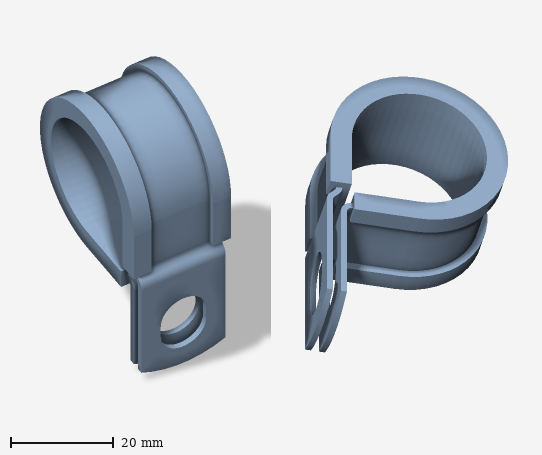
import cadquery as cq
import math

outer_radius = 17.75
bore_radius = 13.5
upright_leg_length = 11.55
level_leg_length = 12.9
cushion_width = 22.1
groove_width = 13.95

strap_radius = 16.25
strap_thickness = 1.2
strap_width = 19.2
bend_inner_radius = strap_thickness
bend_outer_radius = bend_inner_radius + strap_thickness

overall_height = 57.45
tab_bottom = outer_radius - overall_height
tab_end_rise = 2.1
outer_tab_face = 18.15
hole_diameter = 10.35
slot_length = 13.1
hole_height = -28.6
jog_angle = math.radians(45)


def loop_section(outer, inner, width):
    """Loop with an upright and a level leg, extruded evenly about Y = 0."""
    return (
        cq.Workplane("XZ")
        .moveTo(level_leg_length, -outer)
        .lineTo(0, -outer)
        .threePointArc((-outer * math.sqrt(0.5), outer * math.sqrt(0.5)), (outer, 0))
        .lineTo(outer, -upright_leg_length)
        .lineTo(inner, -upright_leg_length)
        .lineTo(inner, 0)
        .threePointArc((-inner * math.sqrt(0.5), inner * math.sqrt(0.5)), (0, -inner))
        .lineTo(level_leg_length, -inner)
        .close()
        .extrude(width / 2, both=True)
    )


def inner_tab():
    """Strap end that turns down a quarter turn from the level leg."""
    bend_x = level_leg_length
    bend_z = -strap_radius - bend_inner_radius
    diagonal = math.sqrt(0.5)

    def bend_middle(radius):
        return bend_x + radius * diagonal, bend_z + radius * diagonal

    return (
        cq.Workplane("XZ")
        .moveTo(bend_x, bend_z + bend_outer_radius)
        .threePointArc(bend_middle(bend_outer_radius), (bend_x + bend_outer_radius, bend_z))
        .lineTo(bend_x + bend_outer_radius, tab_bottom)
        .lineTo(bend_x + bend_inner_radius, tab_bottom)
        .lineTo(bend_x + bend_inner_radius, bend_z)
        .threePointArc(bend_middle(bend_inner_radius), (bend_x, bend_z + bend_inner_radius))
        .close()
        .extrude(strap_width / 2, both=True)
    )


def outer_tab():
    """Strap end that jogs outward below the upright leg, then runs down."""
    bend_radius_sum = bend_inner_radius + bend_outer_radius
    jog_offset = outer_tab_face - strap_radius
    straight_offset = jog_offset - bend_radius_sum * (1 - math.cos(jog_angle))
    jog_drop = bend_radius_sum * math.sin(jog_angle) + straight_offset / math.tan(jog_angle)

    start_z = -upright_leg_length
    end_z = start_z - jog_drop
    upper_centre_x = strap_radius + bend_inner_radius
    lower_centre_x = outer_tab_face - bend_outer_radius

    def upper_bend(radius, angle):
        return upper_centre_x - radius * math.cos(angle), start_z - radius * math.sin(angle)

    def lower_bend(radius, angle):
        return lower_centre_x + radius * math.cos(angle), end_z + radius * math.sin(angle)

    half = jog_angle / 2
    return (
        cq.Workplane("XZ")
        .moveTo(*upper_bend(bend_inner_radius, 0))
        .threePointArc(upper_bend(bend_inner_radius, half), upper_bend(bend_inner_radius, jog_angle))
        .lineTo(*lower_bend(bend_outer_radius, jog_angle))
        .threePointArc(lower_bend(bend_outer_radius, half), lower_bend(bend_outer_radius, 0))
        .lineTo(outer_tab_face, tab_bottom)
        .lineTo(outer_tab_face - strap_thickness, tab_bottom)
        .lineTo(*lower_bend(bend_inner_radius, 0))
        .threePointArc(lower_bend(bend_inner_radius, half), lower_bend(bend_inner_radius, jog_angle))
        .lineTo(*upper_bend(bend_outer_radius, jog_angle))
        .threePointArc(upper_bend(bend_outer_radius, half), upper_bend(bend_outer_radius, 0))
        .close()
        .extrude(strap_width / 2, both=True)
    )


def tab_outline():
    """Block along X with the rounded lower end shared by both tabs."""
    half_width = strap_width / 2
    corner_z = tab_bottom + tab_end_rise
    return (
        cq.Workplane("YZ")
        .moveTo(-half_width, 0)
        .lineTo(-half_width, corner_z)
        .threePointArc((0, tab_bottom), (half_width, corner_z))
        .lineTo(half_width, 0)
        .close()
        .extrude(outer_tab_face)
    )


cushion = loop_section(outer_radius, bore_radius, cushion_width)
groove = loop_section(outer_radius, strap_radius, groove_width)
clamp_loop = cushion.cut(groove)

hole_plane = cq.Workplane("YZ").center(0, hole_height)
bolt_hole = hole_plane.circle(hole_diameter / 2).extrude(outer_tab_face)
bolt_slot = hole_plane.slot2D(slot_length, hole_diameter, 90).extrude(outer_tab_face)
tabs = inner_tab().cut(bolt_hole).union(outer_tab().cut(bolt_slot)).intersect(tab_outline())

result = clamp_loop.union(tabs)